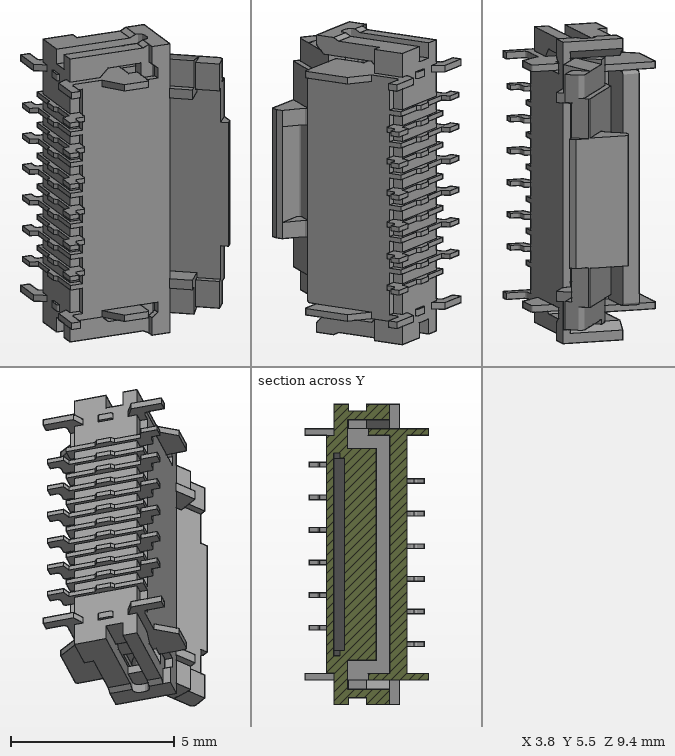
import cadquery as cq
import math


housing_half_width = 1.24
foot_half_width = 1.01
foot_y = 0.35
shoulder_y = 0.67
housing_top = 3.61
housing_half_length = 3.65
housing_corner = 0.09
cavity_floor = 2.31
cavity_left = -0.705

frame_inner_z = 4.13
frame_outer_z = 4.61
end_z = 4.7
frame_step_y = 1.35
frame_chamfer = 0.28
frame_bevel = 0.26
rim_y = 3.0
rim_ramp = 0.19
lug_y = 3.2
lug_ramp = 0.15
slot_x = 0.28
slot_width = 0.545
slot_top = 3.22
slot_corner = 0.2
slot_ledge_y = 2.585
slot_ledge_z = 4.4

plate_z = 3.85
plate_half_width = 1.9
plate_foot_height = 0.3
plate_foot_inner = 0.93
plate_foot_slope = 0.21
wing_bottom = 1.78
wing_root = 1.32
left_wing_top = 3.31
left_wing_inner = 0.05
right_wing_top = 2.61
plate_round = 0.08
neck_round = 0.12
tab_half_width = 0.235
tab_y = 0.27
tab_round = 0.07

contact_count = 12
contact_row = 5.5
contact_pitch = contact_row / (contact_count - 1)
contact_thickness = 0.15
contact_tip = 1.77
contact_shoulder = 1.45
contact_bottom = 0.25
contact_slope = 0.09
contact_foot_height = 0.3
shoulder_round = 0.08
bump_half_width = 0.23
bump_slope = 0.09
bump_y = 0.15

flap_angle = math.radians(54)
flap_x = -0.29
flap_y = 3.67
flap_length = 2.29
tip_length = 2.54
flap_thickness = 0.58
flap_half_length = 3.25
flap_top = 5.5
flap_base = 2.41
jaw_length = 1.55
jaw_thickness = 1.29
arm_start_v = 0.2
arm_thickness = 0.79
arm_z = 3.98
arm_inner_z = 3.1
arm_tip_round = 0.15
cheek_crest = 0.99
cheek_thickness = 1.06
jaw_inner_z = 2.94
tip_half_length = 2.01
grip_half_length = 2.03
grip_relief_half_length = 1.51
grip_bottom = 5.09
grip_shoulder = 5.29
grip_crest = -0.2
grip_root = 4.48
grip_fillet_y = 4.935
gusset_x = 0.22
gusset_y = 4.7
pivot_start_y = 3.52
pivot_hollow_x = 0.235
pivot_hollow_y = 3.13
pivot_lower_x = 0.47
pivot_lower_y = 2.83
pivot_bottom_x = 0.61
pivot_bottom_y = 2.74
pivot_hollow_depth = 0.06
heel_length = 0.34


def block(x0, x1, y0, y1, z0, z1):
    return cq.Workplane("XY").box(x1 - x0, y1 - y0, z1 - z0, centered=False).translate((x0, y0, z0))


def prism(points, z0, z1):
    """Closed XY outline extruded from z0 to z1."""
    return cq.Workplane("XY").workplane(offset=z0).polyline(points).close().extrude(z1 - z0)


def side_prism(points, x0, x1):
    """Closed YZ outline extruded from x0 to x1."""
    return cq.Workplane("YZ").workplane(offset=x0).polyline(points).close().extrude(x1 - x0)


def both_ends(shape):
    return shape.union(shape.mirror("XY"))


def round_corner(shape, x, y, radius):
    """Fillet the Z-parallel edge of a shape nearest to (x, y)."""
    middle_z = shape.val().Center().z
    corner = cq.selectors.NearestToPointSelector((x, y, middle_z))
    return shape.edges("|Z").edges(corner).fillet(radius)


def flap_point(u, v):
    cos_a = math.cos(flap_angle)
    sin_a = math.sin(flap_angle)
    return (flap_x + u * cos_a + v * sin_a, flap_y + u * sin_a - v * cos_a)


def flap_u(y, v):
    """Distance along the flap at which depth v reaches height y."""
    return (y - flap_y + v * math.cos(flap_angle)) / math.sin(flap_angle)


def make_housing():
    wide = block(-housing_half_width, housing_half_width, shoulder_y, housing_top,
                 -housing_half_length, housing_half_length)
    wide = wide.edges("|X and >Y").fillet(housing_corner)
    core = block(-foot_half_width, foot_half_width, foot_y, cavity_floor, -plate_z, plate_z)
    cavity = block(cavity_left, foot_half_width, cavity_floor, housing_top, -plate_z, plate_z)
    return wide.union(core).cut(cavity)


def make_end_frame():
    profile = [
        (foot_y, plate_z),
        (frame_step_y, plate_z),
        (frame_step_y + frame_chamfer, frame_inner_z),
        (housing_top - frame_bevel, frame_inner_z),
        (housing_top, frame_inner_z + frame_bevel),
        (housing_top, end_z),
        (rim_y, end_z),
        (rim_y - rim_ramp, frame_outer_z),
        (foot_y, frame_outer_z),
    ]
    frame = side_prism(profile, cavity_left, foot_half_width)
    frame = frame.union(block(-foot_half_width, cavity_left, foot_y, frame_step_y, plate_z, frame_outer_z))
    lug = [
        (rim_y, end_z),
        (housing_top, end_z),
        (housing_top, housing_half_length - housing_corner),
        (lug_y, housing_half_length - housing_corner),
        (lug_y, frame_inner_z - lug_ramp),
        (rim_y, frame_inner_z),
    ]
    frame = frame.union(side_prism(lug, foot_half_width, housing_half_width))
    left = slot_x - slot_width / 2
    right = slot_x + slot_width / 2
    lower_slot = block(left, right, foot_y, slot_ledge_y, frame_inner_z, slot_ledge_z)
    ramp_gap = block(left, right, frame_step_y, cavity_floor, plate_z, frame_inner_z)
    upper_slot = block(left, right, foot_y, slot_top, slot_ledge_z, end_z)
    upper_slot = upper_slot.edges("|Z and >Y").fillet(slot_corner)
    return frame.cut(lower_slot).cut(ramp_gap).cut(upper_slot)


def make_plate_side(side, wing_inner, wing_top):
    """Wing and foot of a solder plate; side is -1 for -X and +1 for +X.

    All X distances are measured from the middle towards that side.
    """
    outline = [
        (0, foot_y),
        (plate_foot_inner - plate_foot_slope, foot_y),
        (plate_foot_inner, 0),
        (plate_half_width, 0),
        (plate_half_width, plate_foot_height),
        (housing_half_width, plate_foot_height),
        (housing_half_width, wing_root),
        (plate_half_width, wing_bottom),
        (plate_half_width, wing_top),
        (wing_inner, wing_top),
        (wing_inner, cavity_floor),
        (0, cavity_floor),
    ]
    plate = prism([(side * x, y) for x, y in outline], housing_half_length, plate_z)
    plate = round_corner(plate, side * plate_half_width, wing_top, plate_round)
    return round_corner(plate, side * housing_half_width, plate_foot_height, neck_round)


def make_solder_plate():
    tab = block(-tab_half_width, tab_half_width, tab_y, foot_y, housing_half_length, plate_z)
    tab = tab.edges("|Z and <Y").fillet(tab_round)
    left_side = make_plate_side(-1, left_wing_inner, left_wing_top)
    right_side = make_plate_side(1, foot_half_width, right_wing_top)
    return left_side.union(right_side).union(tab)


def make_contact(side, z):
    """Contact blade whose solder foot points to -X (side = -1) or +X (side = +1)."""
    outline = [
        (-housing_half_width, contact_bottom),
        (-bump_half_width - bump_slope, contact_bottom),
        (-bump_half_width, bump_y),
        (bump_half_width, bump_y),
        (bump_half_width + bump_slope, contact_bottom),
        (housing_half_width - contact_slope, contact_bottom),
        (housing_half_width, 0),
        (contact_tip, 0),
        (contact_tip, contact_foot_height),
        (contact_shoulder, contact_foot_height),
        (contact_shoulder, shoulder_y),
        (-housing_half_width, shoulder_y),
    ]
    half = contact_thickness / 2
    contact = prism([(side * x, y) for x, y in outline], z - half, z + half)
    contact = round_corner(contact, side * contact_shoulder, shoulder_y, shoulder_round)
    return round_corner(contact, side * contact_shoulder, contact_foot_height, neck_round)


def make_flap():
    plate = prism(
        [
            flap_point(0, 0),
            flap_point(flap_length, 0),
            flap_point(flap_length, flap_thickness),
            flap_point(0, flap_thickness),
            (foot_half_width, flap_base),
            (flap_x, flap_base),
        ],
        -flap_half_length, flap_half_length,
    )
    jaw = prism(
        [
            flap_point(0, 0),
            flap_point(jaw_length, 0),
            flap_point(jaw_length, jaw_thickness),
            flap_point(0, jaw_thickness),
            (foot_half_width, flap_base),
        ],
        jaw_inner_z, flap_half_length,
    )
    tip = prism(
        [
            flap_point(jaw_length, 0),
            flap_point(tip_length, 0),
            flap_point(tip_length, flap_thickness),
            flap_point(jaw_length, flap_thickness),
        ],
        -tip_half_length, tip_half_length,
    )
    top_trim = block(-plate_half_width, plate_half_width, flap_top, 2 * flap_top,
                     -flap_half_length, flap_half_length)
    return plate.union(tip).cut(top_trim).union(both_ends(jaw))


def make_arm():
    arm = prism(
        [
            flap_point(0, arm_start_v),
            flap_point(flap_length, arm_start_v),
            flap_point(flap_length, arm_thickness),
            flap_point(jaw_length, arm_thickness),
            flap_point(jaw_length, cheek_thickness),
            flap_point(0, cheek_thickness),
        ],
        arm_inner_z, arm_z,
    )
    return round_corner(arm, *flap_point(flap_length, arm_start_v), arm_tip_round)


def make_cheek():
    """Wedge on the arm that rises towards the outer side of the flap."""
    flap_plane = cq.Plane(
        origin=(*flap_point(0, 0), 0),
        xDir=(math.sin(flap_angle), -math.cos(flap_angle), 0),
        normal=(math.cos(flap_angle), math.sin(flap_angle), 0),
    )
    wedge = [
        (arm_start_v, -arm_z),
        (cheek_crest, -frame_inner_z),
        (cheek_thickness, -frame_inner_z),
        (cheek_thickness, -arm_inner_z),
        (arm_start_v, -arm_inner_z),
    ]
    return cq.Workplane(flap_plane).polyline(wedge).close().extrude(jaw_length)


def make_pivot():
    """Hollowed heel of the arm, carried under the end frame."""
    face_start = flap_point(heel_length, arm_start_v)
    face_end = flap_point(flap_u(pivot_start_y, arm_start_v), arm_start_v)
    return (
        cq.Workplane("XY").workplane(offset=arm_inner_z)
        .moveTo(*flap_point(heel_length, arm_thickness))
        .lineTo(*face_start)
        .lineTo(*face_end)
        .sagittaArc((pivot_hollow_x, pivot_hollow_y), -pivot_hollow_depth)
        .lineTo(pivot_lower_x, pivot_lower_y)
        .lineTo(pivot_bottom_x, pivot_bottom_y)
        .lineTo(foot_half_width, pivot_bottom_y)
        .lineTo(foot_half_width, pivot_hollow_y)
        .close().extrude(frame_inner_z - arm_inner_z)
    )


def make_grip():
    """Finger lip on the -X side of the flap, braced by a gusset at each end."""
    bottom_root = flap_point(flap_u(grip_bottom, 0), 0)
    fillet_reach = (grip_bottom - grip_fillet_y) / math.sin(flap_angle)
    lip = (
        cq.Workplane("XY").workplane(offset=-grip_half_length)
        .moveTo(flap_x, grip_bottom)
        .lineTo(bottom_root[0] - fillet_reach, grip_bottom)
        .tangentArcPoint(flap_point(flap_u(grip_fillet_y, 0), 0), relative=False)
        .lineTo(*flap_point(flap_u(flap_top, 0), 0))
        .lineTo(grip_crest, flap_top)
        .lineTo(flap_x, grip_shoulder)
        .close().extrude(2 * grip_half_length)
    )
    gusset = (
        cq.Workplane("XY").workplane(offset=grip_relief_half_length)
        .moveTo(*bottom_root)
        .lineTo(flap_x, grip_bottom)
        .lineTo(gusset_x, gusset_y)
        .tangentArcPoint(flap_point(flap_u(grip_root, 0), 0), relative=False)
        .close().extrude(grip_half_length - grip_relief_half_length)
    )
    return lip.union(both_ends(gusset))


result = make_housing()
result = result.union(both_ends(make_end_frame()))
result = result.union(both_ends(make_solder_plate()))
for index in range(contact_count):
    contact_z = contact_row / 2 - index * contact_pitch
    contact_side = 1 if index % 2 == 0 else -1
    result = result.union(make_contact(contact_side, contact_z))
result = result.union(make_flap())
result = result.union(both_ends(make_arm()))
result = result.union(both_ends(make_cheek()))
result = result.union(both_ends(make_pivot()))
result = result.union(make_grip())